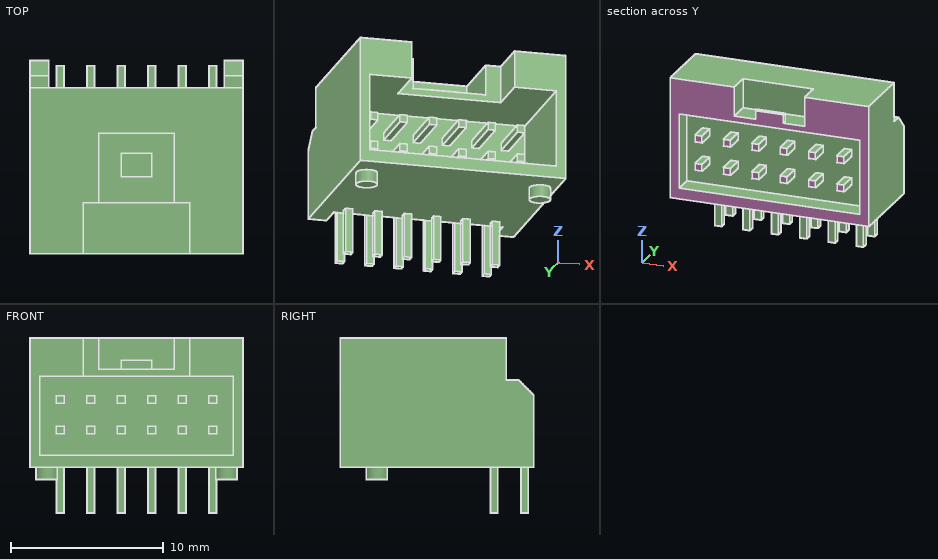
import cadquery as cq

body_width = 14.0
body_depth = 10.9
body_height = 8.5

side_wall = 0.65
floor_wall = 0.8
roof_wall = 2.5
cavity_depth = 7.7

keyway_width = 7.0
keyway_depth = 3.35
pocket_width = 4.95
pocket_end = 7.9
pocket_drop = 2.05
bump_width = 2.0
bump_front = 5.05
bump_length = 1.55
bump_height = 0.6

ear_width = 1.25
ear_length = 1.8
ear_height = 5.75
ear_chamfer = 1.0

pin_size = 0.5
pin_columns = 6
pin_rows = 2
pin_pitch = 2.0
pin_tip_y = 3.75
pin_tail_length = 3.0
lower_row_z = 2.45
lower_row_tail_y = 10.1

peg_diameter = 1.4
peg_length = 0.8
peg_edge_distance = 1.1
peg_y = 2.4


def block(width, y_start, y_end, z_bottom, z_top, x_center=0.0):
    """Axis-aligned box given by its X centre and width and its Y and Z limits."""
    box = cq.Workplane("XY").box(width, y_end - y_start, z_top - z_bottom, centered=(True, False, False))
    return box.translate((x_center, y_start, z_bottom))


def make_housing():
    """Hollow shroud with its mating cavity and the latch opening in the roof."""
    cavity_width = body_width - 2 * side_wall
    cavity_top = body_height - roof_wall
    pocket_floor = body_height - pocket_drop

    housing = block(body_width, 0, body_depth, 0, body_height)
    housing = housing.cut(block(cavity_width, 0, cavity_depth, floor_wall, cavity_top))
    housing = housing.cut(block(keyway_width, 0, keyway_depth, cavity_top, body_height))
    housing = housing.cut(block(pocket_width, keyway_depth, pocket_end, pocket_floor, body_height))
    bump = block(bump_width, bump_front, bump_front + bump_length, pocket_floor, pocket_floor + bump_height)
    return housing.union(bump)


def make_ear(side):
    """Rear ear with its top rear edge chamfered; side is -1 or +1 along X."""
    x_center = side * (body_width - ear_width) / 2
    ear = block(ear_width, body_depth, body_depth + ear_length, 0, ear_height, x_center)
    return ear.edges(">Y and >Z").chamfer(ear_chamfer)


def make_pin(x, row_z, tail_y):
    """Right-angle pin: a contact along Y joined to a tail running down along Z."""
    half = pin_size / 2
    contact = block(pin_size, pin_tip_y, tail_y + half, row_z - half, row_z + half, x)
    tail = block(pin_size, tail_y - half, tail_y + half, -pin_tail_length, row_z + half, x)
    return contact.union(tail)


def make_peg(side):
    """Round locating peg below the housing; side is -1 or +1 along X."""
    x = side * (body_width / 2 - peg_edge_distance)
    return cq.Workplane("XY").center(x, peg_y).circle(peg_diameter / 2).extrude(-peg_length)


result = make_housing()

for side in (-1, 1):
    result = result.union(make_ear(side))
    result = result.union(make_peg(side))

for column in range(pin_columns):
    pin_x = (column - (pin_columns - 1) / 2) * pin_pitch
    for row in range(pin_rows):
        row_offset = row * pin_pitch
        result = result.union(make_pin(pin_x, lower_row_z + row_offset, lower_row_tail_y + row_offset))